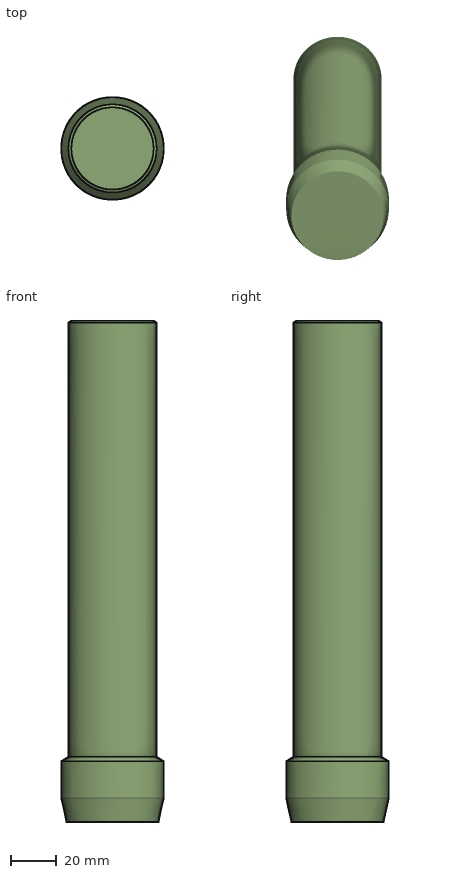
import cadquery as cq

shaft_length = 220.0
shaft_diameter = 38.7
tip_chamfer_width = 1.3
tip_chamfer_height = 0.9

collar_diameter = 45.0
collar_height = 28.5
collar_chamfer_height = 2.0
collar_base_diameter = 40.5
collar_taper_height = 10.5

shaft_radius = shaft_diameter / 2
collar_radius = collar_diameter / 2
collar_base_radius = collar_base_diameter / 2


def make_shaft():
    """Plain round shaft with a shallow bevel around its upper end."""
    return (
        cq.Workplane("YZ")
        .lineTo(shaft_radius, 0)
        .lineTo(shaft_radius, shaft_length - tip_chamfer_height)
        .lineTo(shaft_radius - tip_chamfer_width, shaft_length)
        .lineTo(0, shaft_length)
        .close()
        .revolve(360, (0, 0, 0), (0, 1, 0))
    )


def make_collar():
    """Ring around the shaft, beveled on top and with a tapered lead-in below."""
    return (
        cq.Workplane("YZ")
        .moveTo(shaft_radius, 0)
        .lineTo(collar_base_radius, 0)
        .lineTo(collar_radius, collar_taper_height)
        .lineTo(collar_radius, collar_height - collar_chamfer_height)
        .lineTo(shaft_radius, collar_height)
        .close()
        .revolve(360, (0, 0, 0), (0, 1, 0))
    )


shaft = make_shaft()
collar = make_collar()
result = cq.Compound.makeCompound([shaft.val(), collar.val()])